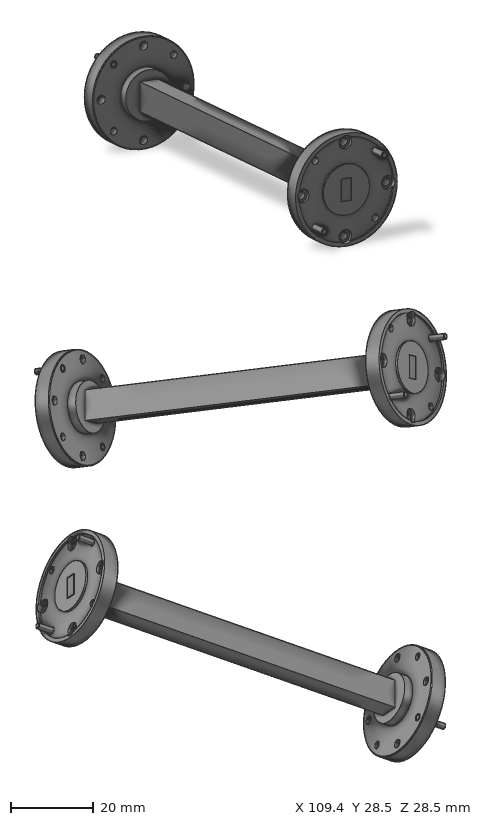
import cadquery as cq
import math

overall_length = 109.4
pin_protrusion = 3.8
flange_face_x = overall_length / 2 - pin_protrusion

flange_diameter = 28.5
flange_thickness = 4.2
flange_back_chamfer = 0.2
collar_diameter = 12.9
collar_length = 2.4

groove_outer_diameter = 26.5
groove_depth = 0.5

bar_width_y = 4.9
bar_height_z = 7.5

port_width_y = 2.8
port_height_z = 5.7
port_depth = 0.2

bolt_circle_radius = 11.9
screw_hole_diameter = 2.2
counterbore_diameter = 3.5
counterbore_depth = 1.4
screw_angles = [0, 90, 180, 270]

pin_diameter = 1.5
pin_end_chamfer = 0.16
dowel_hole_diameter = 1.9
pin_angles = [45, 225]
open_dowel_angles = [135, 315]


def on_bolt_circle(angles):
    """Points on the bolt circle, angles measured from +Y towards +Z."""
    return [
        (
            bolt_circle_radius * math.cos(math.radians(angle)),
            bolt_circle_radius * math.sin(math.radians(angle)),
        )
        for angle in angles
    ]


def at_right_end(depth):
    """YZ plane facing +X, set the given depth behind the right flange face."""
    return cq.Workplane("YZ").workplane(offset=flange_face_x - depth)


def to_left_end(shape):
    """Turn a right-end shape half a turn about Z to get its left-end twin."""
    return shape.rotate((0, 0, 0), (0, 0, 1), 180)


def make_flange():
    disc = (
        at_right_end(flange_thickness)
        .circle(flange_diameter / 2)
        .extrude(flange_thickness)
        .faces("<X")
        .chamfer(flange_back_chamfer)
    )
    collar = (
        at_right_end(flange_thickness + collar_length)
        .circle(collar_diameter / 2)
        .extrude(collar_length)
    )
    groove = (
        at_right_end(groove_depth)
        .circle(groove_outer_diameter / 2)
        .circle(collar_diameter / 2)
        .extrude(groove_depth)
    )
    port = at_right_end(port_depth).rect(port_width_y, port_height_z).extrude(port_depth)
    screw_holes = (
        at_right_end(flange_thickness)
        .pushPoints(on_bolt_circle(screw_angles))
        .circle(screw_hole_diameter / 2)
        .extrude(flange_thickness)
    )
    counterbores = (
        at_right_end(counterbore_depth)
        .pushPoints(on_bolt_circle(screw_angles))
        .circle(counterbore_diameter / 2)
        .extrude(counterbore_depth)
    )
    dowel_holes = (
        at_right_end(flange_thickness)
        .pushPoints(on_bolt_circle(pin_angles + open_dowel_angles))
        .circle(dowel_hole_diameter / 2)
        .extrude(flange_thickness)
    )
    flange = disc.union(collar)
    for cutter in (groove, port, screw_holes, counterbores, dowel_holes):
        flange = flange.cut(cutter)
    return flange


def make_waveguide():
    bar_length = 2 * (flange_face_x - flange_thickness - collar_length)
    bar = cq.Workplane("XY").box(bar_length, bar_width_y, bar_height_z)
    flange = make_flange()
    return bar.union(flange).union(to_left_end(flange))


def make_pin(y, z):
    """Dowel pin of the right flange, flush with the flange back."""
    return (
        at_right_end(flange_thickness)
        .center(y, z)
        .circle(pin_diameter / 2)
        .extrude(flange_thickness + pin_protrusion)
        .faces("<X or >X")
        .chamfer(pin_end_chamfer)
    )


waveguide = make_waveguide()

pins = []
for pin_y, pin_z in on_bolt_circle(pin_angles):
    pin = make_pin(pin_y, pin_z)
    pins.append(pin.val())
    pins.append(to_left_end(pin).val())

result = cq.Compound.makeCompound([waveguide.val(), *pins])